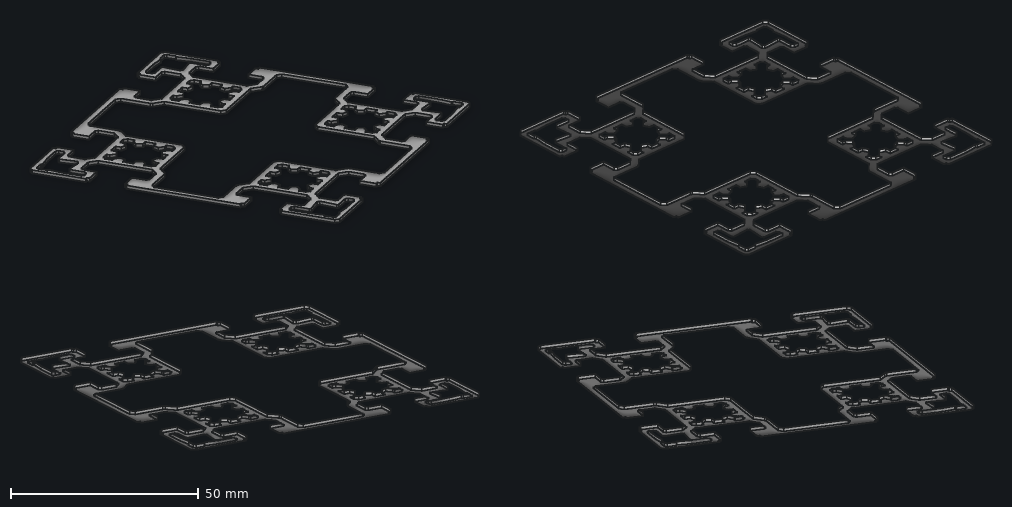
import cadquery as cq
import math

SIDE = 90.0
THICKNESS = 1.0
HALF = SIDE / 2
CELL = SIDE / 4

MOUTH_HALF = 5.1
MOUTH_STEP = 0.8
LIP_DEPTH = 5.7
SLOT_HALF = 9.9
SLOT_CORNER_BEVEL = 0.6
SLOT_FLOOR_DEPTH = 13.0
SLOT_BEVEL = 2.1

CORE_HALF = 7.6
CORE_BEVEL = 0.9
TOOTH_INNER = 1.5
TOOTH_OUTER = 4.6
TOOTH_FLANK = 1.0
SCREW_RADIUS = 6.1

FACE_WALL = 1.9
WEB = 2.25
ARM_HALF = CELL - SLOT_HALF - WEB
ARM_BEVEL = 1.1
VOID_CORNER = SLOT_FLOOR_DEPTH
VOID_CORNER_BEVEL = 1.2
ELBOW_OFFSET = 1.5
ELBOW_BEVEL = 0.4

OUTER_CORNER_BEVEL = 1.0
SKIN = 1.5
CAVITY_FAR = 10.3
CAVITY_BEVEL = 0.5
LEG_END = 15.2
LEG_SIDE = 4.2
LEG_BEVEL = 0.6
RIDGE_START = 4.7
RIDGE_END = 9.0
RIDGE_HEIGHT = 0.45
RIDGE_BEVEL = 0.4


def bevelled_prism(corners):
    """Through-thickness prism from (x, y, bevel) points; a bevel cuts its length off both sides."""
    outline = []
    for i, (x, y, bevel) in enumerate(corners):
        if bevel == 0:
            outline.append((x, y))
            continue
        for near_x, near_y, _ in (corners[i - 1], corners[(i + 1) % len(corners)]):
            share = bevel / math.hypot(near_x - x, near_y - y)
            outline.append((x + share * (near_x - x), y + share * (near_y - y)))
    return cq.Workplane("XY").polyline(outline).close().extrude(THICKNESS)


def quarter_turns(body):
    """The body and its three copies around the Z axis."""
    copies = [body.rotate((0, 0, 0), (0, 0, 1), 90 * i) for i in range(4)]
    return copies[0].union(copies[1]).union(copies[2]).union(copies[3])


def t_slot():
    """T-slot open toward +Y, centred on the Y axis, with Y = HALF at the outer face."""
    right = [
        (MOUTH_HALF + MOUTH_STEP, HALF, 0),
        (MOUTH_HALF + MOUTH_STEP, HALF - MOUTH_STEP, 0),
        (MOUTH_HALF, HALF - MOUTH_STEP, 0),
        (MOUTH_HALF, HALF - LIP_DEPTH, 0),
        (SLOT_HALF, HALF - LIP_DEPTH, SLOT_CORNER_BEVEL),
        (SLOT_HALF, HALF - SLOT_FLOOR_DEPTH, SLOT_BEVEL),
    ]
    left = [(-x, y, bevel) for x, y, bevel in reversed(right)]
    return bevelled_prism(right + left)


def core():
    """Square core hole around the origin, less its eight screw teeth."""
    square = cq.Workplane("XY").rect(2 * CORE_HALF, 2 * CORE_HALF).extrude(THICKNESS)
    square = square.edges("|Z").chamfer(CORE_BEVEL)
    flank_end = CORE_HALF - TOOTH_FLANK
    tooth = cq.Workplane("XY").polyline([
        (TOOTH_INNER, CORE_HALF),
        (TOOTH_OUTER, CORE_HALF),
        (TOOTH_OUTER, flank_end),
        (TOOTH_INNER, flank_end - (TOOTH_OUTER - TOOTH_INNER)),
    ]).close().extrude(THICKNESS)
    teeth = quarter_turns(tooth.union(tooth.mirror("YZ")))
    screw_hole = cq.Workplane("XY").circle(SCREW_RADIUS).extrude(THICKNESS)
    return square.cut(teeth).union(screw_hole)


def central_void():
    """Cross-shaped void whose inner corners wrap around the four cores."""
    arm_end = HALF - FACE_WALL
    flare = VOID_CORNER - ARM_HALF
    elbow = HALF - SLOT_FLOOR_DEPTH - ELBOW_OFFSET
    quadrant = [
        (arm_end, ARM_HALF, ARM_BEVEL),
        (elbow + flare, ARM_HALF, ELBOW_BEVEL),
        (elbow, VOID_CORNER, 0),
        (VOID_CORNER, VOID_CORNER, VOID_CORNER_BEVEL),
        (VOID_CORNER, elbow, 0),
        (ARM_HALF, elbow + flare, ELBOW_BEVEL),
        (ARM_HALF, arm_end, ARM_BEVEL),
    ]
    corners = []
    for _ in range(4):
        corners += quadrant
        quadrant = [(-y, x, bevel) for x, y, bevel in quadrant]
    return bevelled_prism(corners)


def corner_cavity():
    """L-shaped cavity in the +X +Y corner, symmetric about the diagonal."""
    one_leg = [
        (RIDGE_START, SKIN, 0),
        (RIDGE_START, SKIN + RIDGE_HEIGHT, RIDGE_BEVEL),
        (RIDGE_END, SKIN, 0),
        (LEG_END, SKIN, LEG_BEVEL),
        (LEG_END, LEG_SIDE, LEG_BEVEL),
        (CAVITY_FAR - RIDGE_HEIGHT, LEG_SIDE, RIDGE_BEVEL),
        (CAVITY_FAR, RIDGE_END, 0),
    ]
    other_leg = [(y, x, bevel) for x, y, bevel in reversed(one_leg)]
    outer_corner = (SKIN, SKIN, CAVITY_BEVEL)
    inner_corner = (CAVITY_FAR, CAVITY_FAR, CAVITY_BEVEL)
    from_corner = [outer_corner] + one_leg + [inner_corner] + other_leg
    return bevelled_prism([(HALF - x, HALF - y, bevel) for x, y, bevel in from_corner])


plate = cq.Workplane("XY").rect(SIDE, SIDE).extrude(THICKNESS)
plate = plate.edges("|Z").chamfer(OUTER_CORNER_BEVEL)

top_slots = t_slot().translate((CELL, 0, 0)).union(t_slot().translate((-CELL, 0, 0)))
result = (
    plate
    .cut(central_void())
    .cut(quarter_turns(top_slots))
    .cut(quarter_turns(core().translate((CELL, CELL, 0))))
    .cut(quarter_turns(corner_cavity()))
)